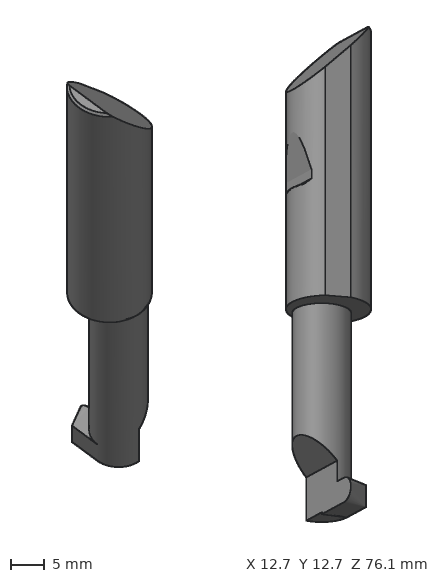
import cadquery as cq
import math

TOTAL_LENGTH = 76.1
SHANK_RADIUS = 6.36
SHANK_BOTTOM = 31.8
TOP_CHAMFER = 0.4
TOP_FLAT_EDGE_Y = -4.4
FLAT_SPAN = 3.7

NOTCH_DEPTH = 1.15
NOTCH_TOP = 58.6
NOTCH_RAMP_END = 51.9
NOTCH_BOTTOM = 49.9
NOTCH_CORNER = 0.6

NECK_RADIUS = 4.4
NECK_X = SHANK_RADIUS - NECK_RADIUS
NECK_BOTTOM = 0.3
NECK_CUT_Z = 7.15

TIP_X = -SHANK_RADIUS
HEAD_HEIGHT = 3.9
HEAD_FACE_X = -3.5
HEAD_FACE_BOTTOM = NECK_BOTTOM
HEAD_FACE_TOP = 3.8
FACE_CORNER_RADIUS = 0.02
NOSE_FLAT = 0.03

CUT_SIZE = 3 * SHANK_RADIUS


def side_prism(points):
    """Extrude a (Y, Z) outline through the part along X."""
    return cq.Workplane("YZ").polyline(points).close().extrude(CUT_SIZE, both=True)


def make_shank():
    length = TOTAL_LENGTH - SHANK_BOTTOM
    shank = cq.Workplane("XY").workplane(offset=SHANK_BOTTOM).circle(SHANK_RADIUS).extrude(length)
    shank = shank.faces(">Z").chamfer(TOP_CHAMFER)

    end_cut = side_prism([
        (TOP_FLAT_EDGE_Y, TOTAL_LENGTH),
        (TOP_FLAT_EDGE_Y + CUT_SIZE, TOTAL_LENGTH - CUT_SIZE),
        (TOP_FLAT_EDGE_Y + CUT_SIZE, TOTAL_LENGTH),
    ])

    floor_y = SHANK_RADIUS - NOTCH_DEPTH
    notch = side_prism([
        (SHANK_RADIUS, NOTCH_TOP),
        (floor_y, NOTCH_RAMP_END),
        (floor_y, NOTCH_BOTTOM + NOTCH_CORNER),
        (floor_y + NOTCH_CORNER, NOTCH_BOTTOM),
        (SHANK_RADIUS, NOTCH_BOTTOM),
    ])

    half_angle = math.asin(FLAT_SPAN / SHANK_RADIUS) / 2
    flat_distance = SHANK_RADIUS * math.cos(half_angle)
    flat_cut = (
        cq.Workplane("XY")
        .box(CUT_SIZE, CUT_SIZE, TOTAL_LENGTH, centered=(True, True, False))
        .translate((-flat_distance - CUT_SIZE / 2, 0, SHANK_BOTTOM))
        .rotate((0, 0, 0), (0, 0, 1), -math.degrees(half_angle))
    )
    return shank.cut(end_cut).cut(notch).cut(flat_cut)


def make_neck():
    neck = (
        cq.Workplane("XY")
        .workplane(offset=NECK_BOTTOM)
        .center(NECK_X, 0)
        .circle(NECK_RADIUS)
        .extrude(SHANK_BOTTOM - NECK_BOTTOM)
    )
    relief = side_prism([
        (0, 0),
        (0, NECK_CUT_Z),
        (CUT_SIZE, NECK_CUT_Z + CUT_SIZE),
        (CUT_SIZE, 0),
    ])
    return neck.cut(relief)


def head_section(y, nose_x, bottom, top, radius):
    """Closed section with two rounded nose corners, in the plane at the given Y."""
    def point(x, z):
        return cq.Vector(x, y, z)

    back_bottom = point(NECK_X, bottom)
    back_top = point(NECK_X, top)
    upper_start = point(nose_x + radius, top)
    upper_end = point(nose_x, top - radius)
    lower_start = point(nose_x, bottom + radius)
    lower_end = point(nose_x + radius, bottom)
    inset = radius * (1 - math.sqrt(0.5))
    upper_middle = point(nose_x + inset, top - inset)
    lower_middle = point(nose_x + inset, bottom + inset)
    return cq.Wire.assembleEdges([
        cq.Edge.makeLine(back_bottom, back_top),
        cq.Edge.makeLine(back_top, upper_start),
        cq.Edge.makeThreePointArc(upper_start, upper_middle, upper_end),
        cq.Edge.makeLine(upper_end, lower_start),
        cq.Edge.makeThreePointArc(lower_start, lower_middle, lower_end),
        cq.Edge.makeLine(lower_end, back_bottom),
    ])


def make_head():
    nose_radius = (HEAD_HEIGHT - NOSE_FLAT) / 2
    rake_section = head_section(0, TIP_X, 0, HEAD_HEIGHT, nose_radius)
    face_section = head_section(
        -NECK_RADIUS, HEAD_FACE_X, HEAD_FACE_BOTTOM, HEAD_FACE_TOP, FACE_CORNER_RADIUS
    )
    return cq.Workplane(obj=cq.Solid.makeLoft([rake_section, face_section], True))


result = make_shank().union(make_neck()).union(make_head())